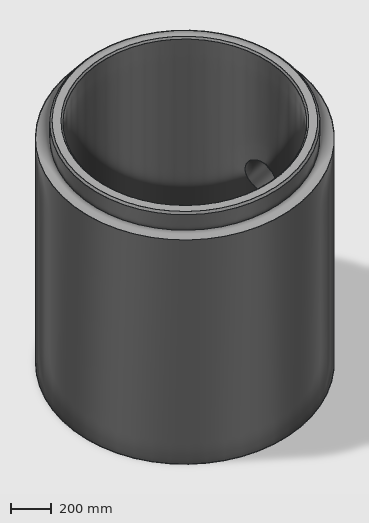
import cadquery as cq

total_height = 1625.0
body_diameter = 1470.0
bore_diameter = 1200.0

spigot_diameter = 1330.0
spigot_height = 115.0
spigot_outer_chamfer = 11.0
spigot_inner_chamfer = 10.0

port_diameter = 200.0
port_height = 814.0

shoulder_height = total_height - spigot_height


def make_pipe():
    """Wall profile in the XZ plane, turned once around the Z axis."""
    bore_radius = bore_diameter / 2
    body_radius = body_diameter / 2
    spigot_radius = spigot_diameter / 2
    profile = (
        cq.Workplane("XZ")
        .moveTo(bore_radius, 0)
        .lineTo(body_radius, 0)
        .lineTo(body_radius, shoulder_height)
        .lineTo(spigot_radius, shoulder_height)
        .lineTo(spigot_radius, total_height - spigot_outer_chamfer)
        .lineTo(spigot_radius - spigot_outer_chamfer, total_height)
        .lineTo(bore_radius + spigot_inner_chamfer, total_height)
        .lineTo(bore_radius, total_height - spigot_inner_chamfer)
        .close()
    )
    return profile.revolve(360, (0, 0, 0), (0, 1, 0))


def make_port_cutter():
    """Cylinder running from the pipe axis out past the +Y wall."""
    return (
        cq.Workplane("XZ")
        .center(0, port_height)
        .circle(port_diameter / 2)
        .extrude(-body_diameter)
    )


result = make_pipe().cut(make_port_cutter())